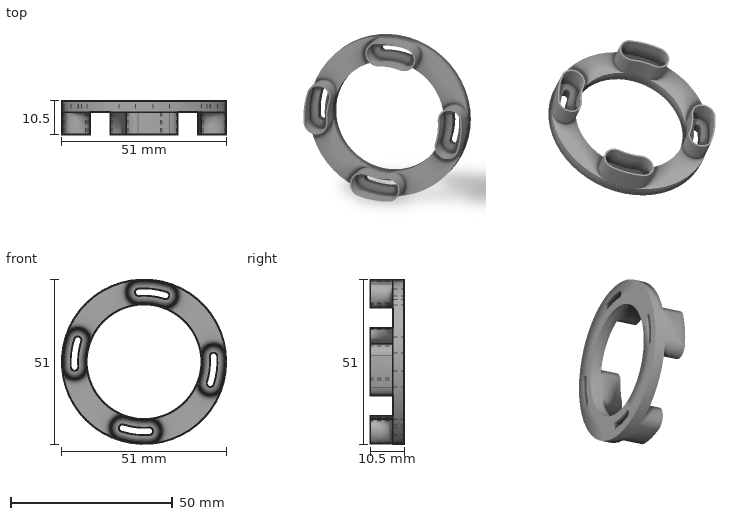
import cadquery as cq
import math

ring_outer_diameter = 51.0
ring_inner_diameter = 35.5
ring_thickness = 3.5

socket_count = 4
socket_height = 7.0
socket_outer_inset = 0.05
socket_wall = 0.5
slot_width = 2.2

socket_start_angle = -4.4
socket_end_angle = 18.0

ring_outer_radius = ring_outer_diameter / 2
ring_inner_radius = ring_inner_diameter / 2
socket_outer_radius = ring_outer_radius - socket_outer_inset
socket_inner_radius = ring_inner_radius
mid_radius = (socket_outer_radius + socket_inner_radius) / 2
socket_width = socket_outer_radius - socket_inner_radius
socket_cavity_width = socket_width - 2 * socket_wall
socket_pitch = 360.0 / socket_count

gap_overreach = 2.0


def polar_point(radius, angle):
    """Point (x, z) at an angle in degrees measured clockwise from +Z."""
    return (radius * math.sin(math.radians(angle)), radius * math.cos(math.radians(angle)))


def cap_tip(half_width, angle, direction):
    """Point where a round end crosses the mid circle; direction is +1 clockwise, -1 the other way."""
    cap_angle = 2 * math.degrees(math.asin(half_width / (2 * mid_radius)))
    return polar_point(mid_radius, angle + direction * cap_angle)


def curved_slot(width, start_y, end_y):
    """Round-ended slot following the sockets' mid circle, solid from start_y to end_y."""
    half_width = width / 2
    outer_radius = mid_radius + half_width
    inner_radius = mid_radius - half_width
    middle_angle = (socket_start_angle + socket_end_angle) / 2
    outline = (
        cq.Workplane("XZ", origin=(0, start_y, 0))
        .moveTo(*polar_point(outer_radius, socket_start_angle))
        .threePointArc(
            polar_point(outer_radius, middle_angle),
            polar_point(outer_radius, socket_end_angle),
        )
        .threePointArc(
            cap_tip(half_width, socket_end_angle, 1),
            polar_point(inner_radius, socket_end_angle),
        )
        .threePointArc(
            polar_point(inner_radius, middle_angle),
            polar_point(inner_radius, socket_start_angle),
        )
        .threePointArc(
            cap_tip(half_width, socket_start_angle, -1),
            polar_point(outer_radius, socket_start_angle),
        )
        .close()
    )
    return outline.extrude(start_y - end_y)


def socket_gap():
    """Space between one socket and the next, reaching past both sides of the sockets."""
    half_width = socket_width / 2
    beyond_outer = ring_outer_radius + gap_overreach
    beyond_inner = socket_inner_radius - gap_overreach
    next_start_angle = socket_start_angle + socket_pitch
    middle_angle = (socket_end_angle + next_start_angle) / 2
    return (
        cq.Workplane("XZ")
        .moveTo(*polar_point(beyond_outer, socket_end_angle))
        .lineTo(*polar_point(socket_outer_radius, socket_end_angle))
        .threePointArc(
            cap_tip(half_width, socket_end_angle, 1),
            polar_point(socket_inner_radius, socket_end_angle),
        )
        .lineTo(*polar_point(beyond_inner, socket_end_angle))
        .threePointArc(
            polar_point(beyond_inner, middle_angle),
            polar_point(beyond_inner, next_start_angle),
        )
        .lineTo(*polar_point(socket_inner_radius, next_start_angle))
        .threePointArc(
            cap_tip(half_width, next_start_angle, -1),
            polar_point(socket_outer_radius, next_start_angle),
        )
        .lineTo(*polar_point(beyond_outer, next_start_angle))
        .threePointArc(
            polar_point(beyond_outer, middle_angle),
            polar_point(beyond_outer, socket_end_angle),
        )
        .close()
        .extrude(socket_height)
    )


def cut_around_ring(body, cutter):
    """Cut evenly spaced copies of a cutter, turned about the Y axis, out of the body."""
    for index in range(socket_count):
        body = body.cut(cutter.rotate((0, 0, 0), (0, 1, 0), index * socket_pitch))
    return body


def make_blank():
    """Flat ring behind Y = 0 with a full circle of socket stock in front of it."""
    ring = cq.Workplane("XZ").circle(ring_outer_radius).extrude(-ring_thickness)
    stock = cq.Workplane("XZ").circle(socket_outer_radius).extrude(socket_height)
    bore = (
        cq.Workplane("XZ", origin=(0, ring_thickness, 0))
        .circle(ring_inner_radius)
        .extrude(ring_thickness + socket_height)
    )
    return ring.union(stock).cut(bore)


def make_part():
    """Ring with thin-walled sockets, each with a narrow slot through its floor.

    The sockets share the ring's bore surface, so they are left standing by
    clearing the gaps between them.
    """
    part = make_blank()
    part = cut_around_ring(part, socket_gap())
    part = cut_around_ring(part, curved_slot(socket_cavity_width, 0, -socket_height))
    return cut_around_ring(part, curved_slot(slot_width, ring_thickness, 0))


result = make_part()